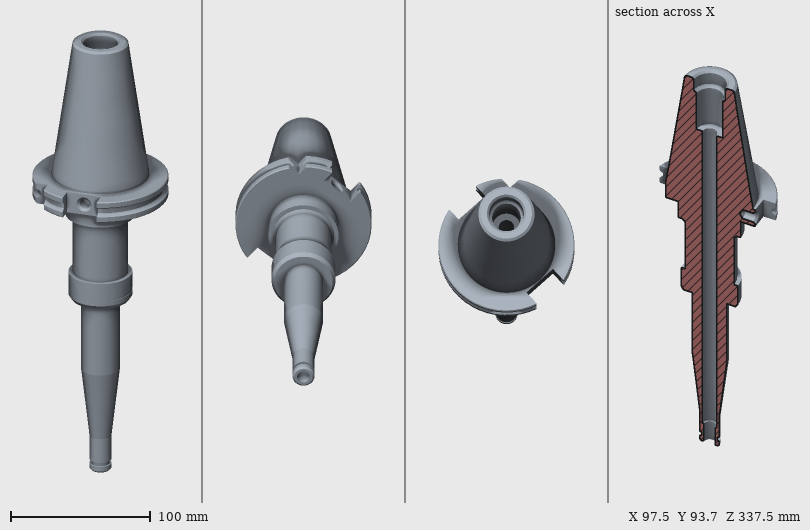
import cadquery as cq
import math

LENGTH = 337.5
TAPER_LENGTH = 103.0
TAPER_BASE_DIAMETER = 70.0
TAPER_RATIO = 7 / 24
TAPER_TOP_CHAMFER_WIDTH = 1.7
TAPER_TOP_CHAMFER_HEIGHT = 1.5

FLANGE_DIAMETER = 97.5
FLANGE_OFFSET = 2.0
FLANGE_ROOT_CHAMFER = 0.5
FLANGE_THICKNESS = 16.0
FLANGE_CHAMFER = 0.7
GRIP_FLOOR_DIAMETER = 91.0
GRIP_FLOOR_WIDTH = 3.7
GRIP_HALF_ANGLE = 30
DRIVE_SLOT_WIDTH = 25.5
FRONT_SLOT_DISTANCE = 36.8
BACK_SLOT_DISTANCE = 35.5
NOTCH_X = 30.0
NOTCH_Y = 29.5

SIDE_HOLE_DIAMETER = 7.8
SIDE_HOLE_MOUTH_DIAMETER = 11.0
SIDE_HOLE_DEPTH = 10.0
DRILL_POINT_HALF_ANGLE = 59

COLLAR_DIAMETER = 50.3
COLLAR_LENGTH = 15.0
NECK_DIAMETER = 40.0
NECK_ROOT_CHAMFER = 2.0
NECK_LENGTH = 45.5
SLEEVE_DIAMETER = 46.0
SLEEVE_LENGTH = 20.5
SLEEVE_CHAMFER_WIDTH = 2.0
SLEEVE_CHAMFER_HEIGHT = 3.0
SLEEVE_GROOVE_WIDTH = 2.0
SLEEVE_GROOVE_DEPTH = 0.5
SLEEVE_GROOVE_ANGLE = 92
SLEEVE_GROOVE_HEIGHT = 7.8
SHANK_DIAMETER = 28.0
SHANK_LENGTH = 55.7
TIP_DIAMETER = 16.0
TIP_CONE_LENGTH = 53.0
TIP_CHAMFER = 1.5
TIP_LAND = 3.7
TIP_GROOVE_WIDTH = 3.0
TIP_GROOVE_DIAMETER = 13.0

BORE_MOUTH_DIAMETER = 28.0
COUNTERBORE_DIAMETER = 25.0
COUNTERBORE_DEPTH = 11.5
THREAD_BORE_DIAMETER = 20.5
THREAD_BORE_DEPTH = 47.3
COOLANT_DIAMETER = 11.0
TIP_BORE_DIAMETER = 9.0
TIP_BORE_LENGTH = 17.0

TOLERANCE = 0.005

top_z = TAPER_LENGTH
bottom_z = TAPER_LENGTH - LENGTH
flange_top_z = -FLANGE_OFFSET
flange_bottom_z = flange_top_z - FLANGE_THICKNESS
flange_middle_z = (flange_top_z + flange_bottom_z) / 2
collar_bottom_z = flange_bottom_z - COLLAR_LENGTH
sleeve_top_z = collar_bottom_z - NECK_LENGTH
sleeve_bottom_z = sleeve_top_z - SLEEVE_LENGTH
cone_top_z = sleeve_bottom_z - SHANK_LENGTH
cone_bottom_z = cone_top_z - TIP_CONE_LENGTH


def make_body():
    """Revolve the outside of the holder about Z."""
    base_radius = TAPER_BASE_DIAMETER / 2
    taper_top_radius = base_radius - TAPER_RATIO * TAPER_LENGTH / 2
    chamfer_start_radius = taper_top_radius + TAPER_RATIO * TAPER_TOP_CHAMFER_HEIGHT / 2
    collar_radius = COLLAR_DIAMETER / 2
    neck_radius = NECK_DIAMETER / 2
    sleeve_radius = SLEEVE_DIAMETER / 2
    shank_radius = SHANK_DIAMETER / 2
    tip_radius = TIP_DIAMETER / 2
    groove_radius = TIP_GROOVE_DIAMETER / 2
    groove_bottom_z = bottom_z + TIP_LAND + TIP_CHAMFER
    groove_top_z = groove_bottom_z + TIP_GROOVE_WIDTH
    points = [
        (0, top_z),
        (taper_top_radius - TAPER_TOP_CHAMFER_WIDTH, top_z),
        (chamfer_start_radius, top_z - TAPER_TOP_CHAMFER_HEIGHT),
        (base_radius, 0),
        (base_radius, flange_top_z + FLANGE_ROOT_CHAMFER),
        (base_radius + FLANGE_ROOT_CHAMFER, flange_top_z),
        (FLANGE_DIAMETER / 2, flange_top_z),
        (FLANGE_DIAMETER / 2, flange_bottom_z),
        (collar_radius, flange_bottom_z),
        (collar_radius, collar_bottom_z),
        (neck_radius + NECK_ROOT_CHAMFER, collar_bottom_z),
        (neck_radius, collar_bottom_z - NECK_ROOT_CHAMFER),
        (neck_radius, sleeve_top_z),
        (sleeve_radius, sleeve_top_z),
        (sleeve_radius, sleeve_bottom_z + SLEEVE_CHAMFER_HEIGHT),
        (sleeve_radius - SLEEVE_CHAMFER_WIDTH, sleeve_bottom_z),
        (shank_radius, sleeve_bottom_z),
        (shank_radius, cone_top_z),
        (tip_radius, cone_bottom_z),
        (tip_radius, groove_top_z),
        (groove_radius, groove_top_z),
        (groove_radius, groove_bottom_z),
        (tip_radius, groove_bottom_z),
        (tip_radius, bottom_z + TIP_CHAMFER),
        (tip_radius - TIP_CHAMFER, bottom_z),
        (0, bottom_z),
    ]
    return cq.Workplane("XZ").polyline(points).close().revolve(360, (0, 0, 0), (0, 1, 0))


def make_grip_groove():
    """V-shaped ring groove around the middle of the flange."""
    floor_radius = GRIP_FLOOR_DIAMETER / 2
    rim_radius = FLANGE_DIAMETER / 2
    half_floor = GRIP_FLOOR_WIDTH / 2
    half_mouth = half_floor + (rim_radius - floor_radius) * math.tan(math.radians(GRIP_HALF_ANGLE))
    points = [
        (floor_radius, flange_middle_z + half_floor),
        (rim_radius, flange_middle_z + half_mouth),
        (rim_radius, flange_middle_z - half_mouth),
        (floor_radius, flange_middle_z - half_floor),
    ]
    return cq.Workplane("XZ").polyline(points).close().revolve(360, (0, 0, 0), (0, 1, 0))


def make_flange_cut(x_min, x_max, y_min, y_max):
    """Block that clears the full thickness of the flange."""
    return cq.Workplane("XY").box(
        x_max - x_min, y_max - y_min, FLANGE_THICKNESS, centered=False
    ).translate((x_min, y_min, flange_bottom_z))


def make_side_hole():
    """Blind hole along +Y with a chamfered mouth and a drill point."""
    radius = SIDE_HOLE_DIAMETER / 2
    mouth_radius = SIDE_HOLE_MOUTH_DIAMETER / 2
    point_length = radius / math.tan(math.radians(DRILL_POINT_HALF_ANGLE))
    points = [
        (0, 0),
        (mouth_radius, 0),
        (radius, mouth_radius - radius),
        (radius, SIDE_HOLE_DEPTH),
        (0, SIDE_HOLE_DEPTH + point_length),
    ]
    hole = cq.Workplane("XY").polyline(points).close().revolve(360, (0, 0, 0), (0, 1, 0))
    return hole.translate((0, -FRONT_SLOT_DISTANCE, flange_middle_z))


def make_bore():
    """Stepped bore from the top face, with a coolant passage through to the tip."""
    mouth_radius = BORE_MOUTH_DIAMETER / 2
    counterbore_radius = COUNTERBORE_DIAMETER / 2
    thread_radius = THREAD_BORE_DIAMETER / 2
    coolant_radius = COOLANT_DIAMETER / 2
    tip_bore_radius = TIP_BORE_DIAMETER / 2
    tip_bore_top_z = bottom_z + TIP_BORE_LENGTH
    thread_chamfer = counterbore_radius - thread_radius
    counterbore_z = top_z - COUNTERBORE_DEPTH
    thread_bottom_z = top_z - THREAD_BORE_DEPTH
    points = [
        (0, top_z),
        (mouth_radius, top_z),
        (counterbore_radius, top_z - (mouth_radius - counterbore_radius)),
        (counterbore_radius, counterbore_z),
        (thread_radius, counterbore_z - thread_chamfer),
        (thread_radius, thread_bottom_z),
        (coolant_radius, thread_bottom_z),
        (coolant_radius, tip_bore_top_z),
        (tip_bore_radius, tip_bore_top_z),
        (tip_bore_radius, bottom_z),
        (0, bottom_z),
    ]
    return cq.Workplane("XZ").polyline(points).close().revolve(360, (0, 0, 0), (0, 1, 0))


def make_sleeve_groove():
    """Shallow ring segment centred on the +X side of the sleeve."""
    rim_radius = SLEEVE_DIAMETER / 2
    floor_radius = rim_radius - SLEEVE_GROOVE_DEPTH
    middle_z = sleeve_bottom_z + SLEEVE_GROOVE_HEIGHT
    section = cq.Workplane("XZ").center((floor_radius + rim_radius) / 2, middle_z).rect(
        SLEEVE_GROOVE_DEPTH, SLEEVE_GROOVE_WIDTH
    )
    axis_x = -(floor_radius + rim_radius) / 2
    segment = section.revolve(SLEEVE_GROOVE_ANGLE, (axis_x, 0, 0), (axis_x, 1, 0))
    return segment.rotate((0, 0, 0), (0, 0, 1), -SLEEVE_GROOVE_ANGLE / 2)


def is_rim_edge(edge):
    """Whether an edge lies on the outer cylinder of the flange."""
    ends = (edge.startPoint(), edge.endPoint())
    return all(abs(math.hypot(end.x, end.y) - FLANGE_DIAMETER / 2) < TOLERANCE for end in ends)


half_slot = DRIVE_SLOT_WIDTH / 2
front_slot = make_flange_cut(-half_slot, half_slot, -FLANGE_DIAMETER, -FRONT_SLOT_DISTANCE)
back_slot = make_flange_cut(-half_slot, half_slot, BACK_SLOT_DISTANCE, FLANGE_DIAMETER)
notch = make_flange_cut(-FLANGE_DIAMETER, -NOTCH_X, -FLANGE_DIAMETER, -NOTCH_Y)

result = make_body()
for cutter in (front_slot, back_slot, notch):
    result = result.cut(cutter)

rim_edges = [edge for edge in result.edges().vals() if is_rim_edge(edge)]
result = result.newObject(rim_edges).chamfer(FLANGE_CHAMFER)

for cutter in (make_grip_groove(), make_side_hole(), make_bore(), make_sleeve_groove()):
    result = result.cut(cutter)